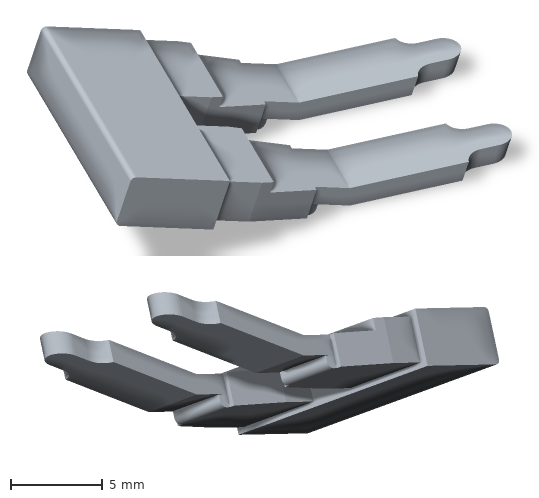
import cadquery as cq
import math

tilt = 17.2

grip_width = 14.4
grip_length = 5.99
grip_height = 3.25
grip_fillet = 0.3

pin_spacing = 8.15
pin_width = 3.67
pin_depth = 1.2
pin_top = 2.22
pin_bend = 8.14
pin_flat_length = 10.07
tip_radius = 1.0
tip_straight = 1.01

collar_width = 5.35
collar_end_width = 4.27
collar_bottom = 0.31
collar_top = 2.92
collar_taper_start = 2.25
collar_step = 3.0
collar_length = 5.99

nose_length = 0.6
nose_end_width = 3.5
nose_fillet = 0.4

cos_tilt = math.cos(math.radians(tilt))
sin_tilt = math.sin(math.radians(tilt))
pin_bottom = pin_top - pin_depth * cos_tilt


def make_grip():
    grip = cq.Workplane("XY").box(grip_width, grip_length, grip_height, centered=(True, False, False))
    return grip.translate((0, -grip_length, 0)).edges("<Y and |X").fillet(grip_fillet)


def make_collar():
    """Tapered sleeve with a stepped top and a rounded nose beneath the pin."""
    half_width = collar_width / 2
    half_end = collar_end_width / 2
    body = (
        cq.Workplane("XY", origin=(0, 0, collar_bottom))
        .moveTo(-half_width, 0)
        .lineTo(half_width, 0)
        .lineTo(half_width, collar_taper_start)
        .lineTo(half_end, collar_length)
        .lineTo(-half_end, collar_length)
        .lineTo(-half_width, collar_taper_start)
        .close()
        .extrude(collar_top - collar_bottom)
    )
    step = (
        cq.Workplane("XY", origin=(0, collar_step, pin_top))
        .box(collar_width, collar_length, collar_top, centered=(True, False, False))
    )
    half_base = pin_width / 2
    half_tip = nose_end_width / 2
    nose_end = collar_length + nose_length
    nose = (
        cq.Workplane("XY", origin=(0, 0, collar_bottom))
        .moveTo(-half_base, collar_step)
        .lineTo(half_base, collar_step)
        .lineTo(half_base, collar_length)
        .lineTo(half_tip, nose_end)
        .lineTo(-half_tip, nose_end)
        .lineTo(-half_base, collar_length)
        .close()
        .extrude(pin_bottom - collar_bottom)
        .edges(">Y and <Z")
        .fillet(nose_fillet)
    )
    return body.cut(step).union(nose)


def make_pin():
    """Bent strip trimmed to a shouldered, round-ended plan."""
    tip_y = pin_bend + pin_flat_length * cos_tilt
    tip_z = pin_top + pin_flat_length * sin_tilt
    flat_drop = pin_depth * sin_tilt
    end_overrun = 2 * pin_depth
    strip = (
        cq.Workplane("YZ")
        .moveTo(0, pin_top)
        .lineTo(pin_bend, pin_top)
        .lineTo(tip_y + end_overrun * cos_tilt, tip_z + end_overrun * sin_tilt)
        .lineTo(
            tip_y + end_overrun * cos_tilt + flat_drop,
            tip_z + end_overrun * sin_tilt - pin_depth * cos_tilt,
        )
        .lineTo(pin_bend + flat_drop, pin_bottom)
        .lineTo(0, pin_bottom)
        .close()
        .extrude(pin_width / 2, both=True)
    )

    round_start = tip_y - tip_radius
    neck_start = round_start - tip_straight
    half_width = pin_width / 2
    centre_x = 2 * tip_radius
    shoulder_y = neck_start - math.sqrt(tip_radius**2 - (centre_x - half_width) ** 2)
    mid_angle = math.acos((centre_x - half_width) / tip_radius) / 2
    middle_x = centre_x - tip_radius * math.cos(mid_angle)
    middle_y = neck_start - tip_radius * math.sin(mid_angle)
    plan = (
        cq.Workplane("XY")
        .moveTo(-half_width, 0)
        .lineTo(half_width, 0)
        .lineTo(half_width, shoulder_y)
        .threePointArc((middle_x, middle_y), (tip_radius, neck_start))
        .lineTo(tip_radius, round_start)
        .threePointArc((0, tip_y), (-tip_radius, round_start))
        .lineTo(-tip_radius, neck_start)
        .threePointArc((-middle_x, middle_y), (-half_width, shoulder_y))
        .close()
        .extrude(2 * tip_z)
    )
    return strip.intersect(plan)


prong = make_collar().union(make_pin())
result = make_grip()
for side in (-1, 1):
    result = result.union(prong.translate((side * pin_spacing / 2, 0, 0)))

result = result.rotate((0, 0, 0), (1, 0, 0), -tilt)